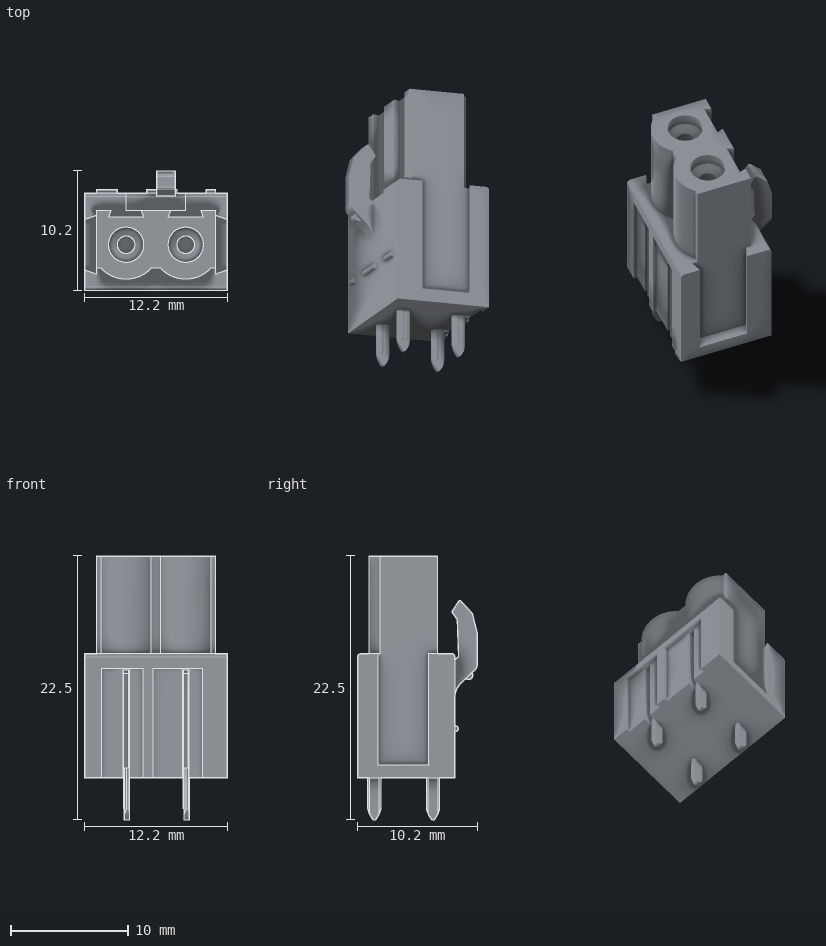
import cadquery as cq
import math


pitch = 5.08
pole_xs = (-pitch / 2, pitch / 2)
total_width = 12.16
total_height = 22.5
pin_length = 3.6
body_height = 10.6
body_front = -3.9
body_back = 4.4
edge_radius = 0.3

tower_width = 2 * pitch
tower_top = total_height - pin_length
tower_back = 2.93
tower_shoulder = -2.0
lobe_radius = 2.93

groove_mouth = 2.56
groove_floor = 3.0
groove_depth = 0.57

hole_diameter = 3.0
bore_diameter = 1.5
hole_depth = 1.03
cone_depth = 0.43
bore_depth = 1.0

pocket_floor_z = 1.11
pocket_mouth_half = 2.15
pocket_inner_half = 2.5

platform_width = pitch
platform_front = 2.87
platform_drop = 0.27
platform_base_depth = 1.0
platform_edge_radius = 0.4

panel_spans = ((-4.63, -1.11), (-0.25, 3.98))
panel_top = 9.33
panel_depth = 0.33
slot_width = 0.56
slot_top = 9.2
slot_back = -2.3
blade_width = 0.42
blade_front = -2.95
blade_bottom = 0.86
blade_chamfer = 0.3

pin_ys = (-2.47, 2.53)
pin_width = 1.14
pin_thickness = 0.52
pin_x_offset = 0.04
pin_rib_half = 0.18
pin_groove_depth = 0.06
pin_facet_half = 0.41
pin_facet_drop = 0.07
pin_end_width = 0.2
pin_back_bevel = 0.06
pin_tip_length = 1.0
pin_tip_half = 0.08
pin_tip_relief = 0.06
pin_tip_mid_half = 0.4

latch_left = 0.05
latch_width = 1.6
latch_tip_radius = 0.15
latch_shoulder_radius = 0.5
latch_back = 6.3
latch_embed = 0.5
latch_root_bottom = 7.0
latch_root_top = 10.1
latch_heel_top = 9.6
latch_bend_z = 12.35
latch_root_curve = (4.56, 7.57)
latch_ramp_start = (4.9, 8.06)
latch_ramp_end = (5.92, 9.03)
latch_heel_curve = (6.18, 9.28)
latch_neck = (4.58, 13.5)
latch_crotch = (4.7, 10.33)
latch_shoulder = (5.9, 14.0)
latch_tip = (4.8, 15.2)
latch_hook = (4.12, 14.15)
rib_width = 0.8
rib_radius = 0.37
rib_y = 5.55
rib_z = 8.75
lug_spans = ((-5.08, -3.29), (-0.8, 1.8), (4.27, 5.08))
lug_z = 4.2
lug_radius = 0.25
lug_height = 0.29


def box(x_range, y_range, z_range):
    """Box given by its limits along each axis."""
    size = [high - low for low, high in (x_range, y_range, z_range)]
    corner = (x_range[0], y_range[0], z_range[0])
    return cq.Workplane("XY").box(*size, centered=False).translate(corner)


def extrude_yz(profile, x_start, length):
    """Extrude a closed (Y, Z) polygon along +X."""
    return cq.Workplane("YZ").workplane(offset=x_start).polyline(profile).close().extrude(length)


def make_housing():
    half = total_width / 2
    housing = box((-half, half), (body_front, body_back), (0, body_height))
    return housing.faces(">Z").edges("|X").fillet(edge_radius)


def make_tower():
    block = box((-tower_width / 2, tower_width / 2), (tower_shoulder, tower_back), (0, tower_top))
    for x in pole_xs:
        lobe = cq.Workplane("XY").center(x, 0).circle(lobe_radius).extrude(tower_top)
        half = math.sqrt(lobe_radius**2 - tower_shoulder**2)
        front_part = box((x - half, x + half), (-lobe_radius, 0), (0, tower_top))
        block = block.union(lobe.intersect(front_part))
    return block


def make_groove(x):
    floor_y = tower_back - groove_depth
    profile = [
        (x - groove_mouth / 2, tower_back),
        (x - groove_floor / 2, floor_y),
        (x + groove_floor / 2, floor_y),
        (x + groove_mouth / 2, tower_back),
    ]
    groove = cq.Workplane("XY").workplane(offset=body_height).polyline(profile).close()
    return groove.extrude(tower_top - body_height)


def make_contact_hole(x):
    cone_top = tower_top - hole_depth
    cone_bottom = cone_top - cone_depth
    profile = [
        (0, tower_top),
        (hole_diameter / 2, tower_top),
        (hole_diameter / 2, cone_top),
        (bore_diameter / 2, cone_bottom),
        (bore_diameter / 2, cone_bottom - bore_depth),
        (0, cone_bottom - bore_depth),
    ]
    return cq.Workplane("XZ").polyline(profile).close().revolve(360, (0, 0), (0, 1)).translate((x, 0, 0))


def make_end_pocket(side):
    mouth_x = side * total_width / 2
    inner_x = side * tower_width / 2
    profile = [
        (mouth_x, -pocket_mouth_half),
        (inner_x, -pocket_inner_half),
        (inner_x, pocket_inner_half),
        (mouth_x, pocket_mouth_half),
    ]
    pocket = cq.Workplane("XY").workplane(offset=pocket_floor_z).polyline(profile).close()
    return pocket.extrude(body_height - pocket_floor_z)


def add_platform(housing):
    """Replace a strip of the rear rim by a platform that slopes down to the back."""
    half = platform_width / 2
    base = body_height - platform_base_depth
    strip = box((-half, half), (platform_front, body_back), (base, body_height))
    profile = [
        (platform_front, base),
        (platform_front, body_height),
        (body_back, body_height - platform_drop),
        (body_back, base),
    ]
    platform = extrude_yz(profile, -half, platform_width)
    rear_top_edge = cq.selectors.NearestToPointSelector((0, body_back, body_height - platform_drop))
    platform = platform.edges(rear_top_edge).fillet(platform_edge_radius)
    return housing.cut(strip).union(platform)


def make_front_panel(span):
    return box(span, (body_front, body_front + panel_depth), (0, panel_top))


def make_contact_slot(x):
    slot_x = (x - slot_width / 2, x + slot_width / 2)
    return box(slot_x, (body_front, slot_back), (0, slot_top))


def make_blade(x):
    blade_x = (x - blade_width / 2, x + blade_width / 2)
    blade = box(blade_x, (blade_front, slot_back), (blade_bottom, slot_top))
    return blade.faces(">Z").edges("<Y").chamfer(blade_chamfer)


def make_pin(x, y):
    """Ribbed pin: a grooved -X face, bevelled ends and a rounded point in the YZ plane."""
    left = -pin_thickness / 2
    right = pin_thickness / 2
    half = pin_width / 2
    end_right = right - pin_back_bevel
    end_left = end_right - pin_end_width
    pin = (
        cq.Workplane("XY").workplane(offset=-pin_length)
        .moveTo(left, -pin_rib_half)
        .lineTo(left + pin_facet_drop, -pin_facet_half)
        .lineTo(end_left, -half)
        .lineTo(end_right, -half)
        .lineTo(right, -pin_facet_half)
        .lineTo(right, pin_facet_half)
        .lineTo(end_right, half)
        .lineTo(end_left, half)
        .lineTo(left + pin_facet_drop, pin_facet_half)
        .lineTo(left, pin_rib_half)
        .threePointArc((left + pin_groove_depth, 0), (left, -pin_rib_half))
        .close()
        .extrude(pin_length + blade_bottom)
    )
    shoulder_z = pin_tip_length - pin_length
    tip_mid_z = pin_tip_length / 2 - pin_length
    envelope = (
        cq.Workplane("YZ").workplane(offset=left)
        .moveTo(-half, blade_bottom)
        .lineTo(-half, shoulder_z)
        .threePointArc((-pin_tip_mid_half, tip_mid_z), (-pin_tip_half, -pin_length))
        .lineTo(pin_tip_half, -pin_length)
        .threePointArc((pin_tip_mid_half, tip_mid_z), (half, shoulder_z))
        .lineTo(half, blade_bottom)
        .close()
        .extrude(pin_thickness)
    )
    relief_x = (left, left + pin_tip_relief)
    tip_relief = box(relief_x, (-half, half), (-pin_length, shoulder_z))
    pin = pin.intersect(envelope).cut(tip_relief)
    return pin.translate((x + pin_x_offset, y, 0))


def round_latch_edge(latch, corner, radius):
    """Fillet the latch edge that runs along X through the (Y, Z) corner."""
    middle = (latch_left + latch_width / 2, *corner)
    return latch.edges(cq.selectors.NearestToPointSelector(middle)).fillet(radius)


def make_latch():
    root = body_back - latch_embed
    profile = (
        cq.Workplane("YZ").workplane(offset=latch_left)
        .moveTo(root, latch_root_bottom)
        .lineTo(body_back, latch_root_bottom)
        .threePointArc(latch_root_curve, latch_ramp_start)
        .lineTo(*latch_ramp_end)
        .threePointArc(latch_heel_curve, (latch_back, latch_heel_top))
        .lineTo(latch_back, latch_bend_z)
        .lineTo(*latch_shoulder)
        .lineTo(*latch_tip)
        .lineTo(*latch_hook)
        .lineTo(*latch_neck)
        .lineTo(*latch_crotch)
        .lineTo(body_back, latch_root_top)
        .lineTo(root, latch_root_top)
        .close()
    )
    latch = profile.extrude(latch_width)
    latch = round_latch_edge(latch, latch_shoulder, latch_shoulder_radius)
    latch = round_latch_edge(latch, latch_tip, latch_tip_radius)
    return round_latch_edge(latch, latch_hook, latch_tip_radius)


def make_latch_rib():
    start = latch_left + (latch_width - rib_width) / 2
    rib = cq.Workplane("YZ").workplane(offset=start).center(rib_y, rib_z)
    return rib.circle(rib_radius).extrude(rib_width)


def make_lug(span):
    lug = cq.Workplane("YZ").workplane(offset=span[0])
    lug = lug.center(body_back + lug_height - lug_radius, lug_z)
    return lug.circle(lug_radius).extrude(span[1] - span[0])


result = add_platform(make_housing()).union(make_tower())
for side in (-1, 1):
    result = result.cut(make_end_pocket(side))
for span in panel_spans:
    result = result.cut(make_front_panel(span))
for x in pole_xs:
    result = result.cut(make_groove(x)).cut(make_contact_hole(x)).cut(make_contact_slot(x))
    result = result.union(make_blade(x))
    for y in pin_ys:
        result = result.union(make_pin(x, y))
result = result.union(make_latch()).union(make_latch_rib())
for span in lug_spans:
    result = result.union(make_lug(span))